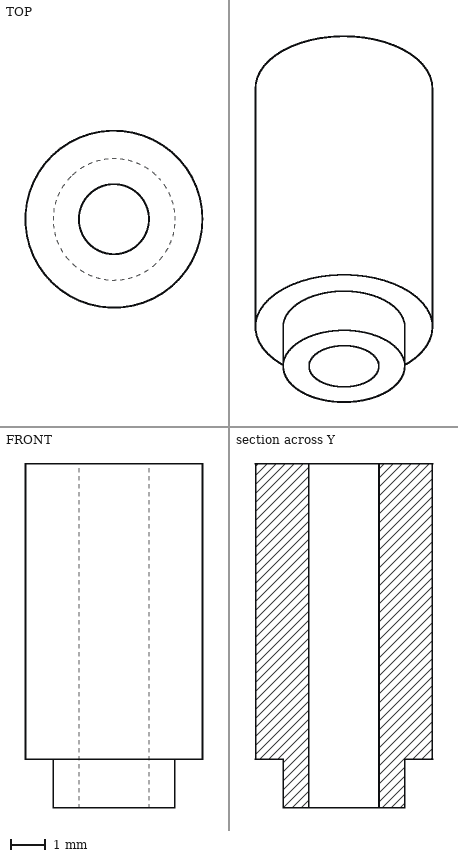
import cadquery as cq

total_height = 9.9
body_diameter = 5.1
spigot_diameter = 3.5
spigot_height = 1.4
bore_diameter = 2.01

body_height = total_height - spigot_height

spigot = cq.Workplane("XY").circle(spigot_diameter / 2).extrude(spigot_height)

sleeve = spigot.faces(">Z").workplane().circle(body_diameter / 2).extrude(body_height)

result = sleeve.faces(">Z").workplane().hole(bore_diameter)